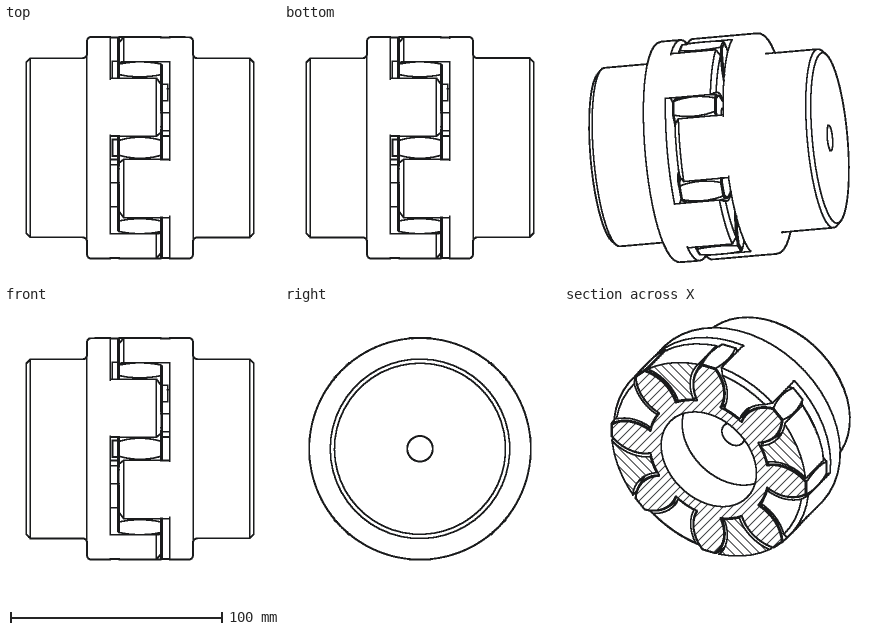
import cadquery as cq
import math


total_length = 107.7
outer_radius = 52.5
bore_radius = 6.0

hub_radius = 42.5
hub_chamfer = 2.0
flange_outer_face = 25.1
flange_inner_face = 14.0
flange_fillet = 2.0
shoulder_fillet = 2.0
hub_end = total_length / 2

claws_per_hub = 4
tooth_count = 2 * claws_per_hub
tooth_pitch = 360.0 / tooth_count
claw_pitch = 360.0 / claws_per_hub
claw_inner_radius = 32.4
claw_tip = 10.0
claw_bevel = 2.25
flank_radius = 20.0
flank_center_radial = 39.7
flank_center_side = 10.1

spider_width = 21.0
spider_half = spider_width / 2
tooth_face_height = outer_radius
spider_hole_radius = 25.5
spider_ring_radius = 32.0
tooth_clearance = 0.2
tooth_crown = 1.1
tooth_chamfer = 0.6
nub_radius = 4.0
nub_center_radius = 37.0
nub_height = 2.6


def x_cylinder(radius, start, length, center_y=0.0, center_z=0.0):
    """Cylinder along +X, centred at the given Y and Z."""
    return cq.Workplane("YZ", origin=(start, center_y, center_z)).circle(radius).extrude(length)


def turned(profile, angle=360.0):
    """Revolve an XY profile about the X axis."""
    return profile.close().revolve(angle, (0, 0, 0), (1, 0, 0))


def about_x(body, angle):
    """Rotate a body about the X axis."""
    return body.rotate((0, 0, 0), (1, 0, 0), angle)


def make_hub_body():
    """Turned hub on the -X side, with its flange, chamfer, fillets and bore."""
    arc_mid = math.sqrt(0.5)
    neck_x = -flange_outer_face - shoulder_fillet
    neck_r = hub_radius + shoulder_fillet
    rim_x = -flange_outer_face + flange_fillet
    rim_r = outer_radius - flange_fillet
    profile = (
        cq.Workplane("XY")
        .moveTo(-hub_end, bore_radius)
        .lineTo(-hub_end, hub_radius - hub_chamfer)
        .lineTo(-hub_end + hub_chamfer, hub_radius)
        .lineTo(neck_x, hub_radius)
        .threePointArc(
            (neck_x + shoulder_fillet * arc_mid, neck_r - shoulder_fillet * arc_mid),
            (-flange_outer_face, neck_r),
        )
        .lineTo(-flange_outer_face, rim_r)
        .threePointArc(
            (rim_x - flange_fillet * arc_mid, rim_r + flange_fillet * arc_mid),
            (rim_x, outer_radius),
        )
        .lineTo(-flange_inner_face, outer_radius)
        .lineTo(-flange_inner_face, bore_radius)
    )
    return turned(profile)


def make_claw():
    """One claw on the -X hub, reaching +X, between the teeth at 0 and one tooth pitch."""
    profile = (
        cq.Workplane("XY")
        .moveTo(-flange_inner_face, claw_inner_radius)
        .lineTo(-flange_inner_face, outer_radius)
        .lineTo(claw_tip - claw_bevel, outer_radius)
        .lineTo(claw_tip, outer_radius - claw_bevel)
        .lineTo(claw_tip, claw_inner_radius)
    )
    claw = turned(profile, tooth_pitch)
    length = flange_inner_face + claw_tip
    near_flank = x_cylinder(flank_radius, -flange_inner_face, length, flank_center_radial, -flank_center_side)
    far_flank = x_cylinder(flank_radius, -flange_inner_face, length, flank_center_radial, flank_center_side)
    return claw.cut(near_flank).cut(about_x(far_flank, tooth_pitch))


def make_hub():
    """-X hub: turned body joined with its ring of claws."""
    hub = about_x(make_hub_body(), tooth_pitch / 2)
    claw = make_claw()
    for i in range(claws_per_hub):
        hub = hub.union(about_x(claw, tooth_pitch + i * claw_pitch))
    return hub


def make_tooth():
    """Tooth at angle 0: two round flanks crowned along X, a flat outer face and chamfered ends."""
    middle_radius = flank_radius - tooth_clearance
    end_radius = middle_radius - tooth_crown
    crowned_disc = turned(
        cq.Workplane("XY")
        .moveTo(-spider_half, 0)
        .lineTo(-spider_half, end_radius - tooth_chamfer)
        .lineTo(-spider_half + tooth_chamfer, end_radius)
        .threePointArc((0, middle_radius), (spider_half - tooth_chamfer, end_radius))
        .lineTo(spider_half, end_radius - tooth_chamfer)
        .lineTo(spider_half, 0)
    )
    block = (
        cq.Workplane("XY")
        .box(spider_width, tooth_face_height, 2 * spider_ring_radius, centered=(True, False, True))
        .faces(">Y")
        .edges("|Z")
        .chamfer(tooth_chamfer)
    )
    upper_flank = crowned_disc.translate((0, flank_center_radial, -flank_center_side))
    lower_flank = crowned_disc.translate((0, flank_center_radial, flank_center_side))
    return block.intersect(upper_flank).intersect(lower_flank)


def make_spider():
    """Ring with barrel teeth; the nubs stand on alternate ends from tooth to tooth."""
    spider = x_cylinder(spider_ring_radius, -spider_half, spider_width)
    tooth = make_tooth()
    left_nub = x_cylinder(nub_radius, -spider_half - nub_height, nub_height, nub_center_radius)
    right_nub = x_cylinder(nub_radius, spider_half, nub_height, nub_center_radius)
    for i in range(tooth_count):
        nub = left_nub if i % 2 == 0 else right_nub
        spider = spider.union(about_x(tooth.union(nub), i * tooth_pitch))
    return spider.cut(x_cylinder(spider_hole_radius, -spider_half, spider_width))


left_hub = make_hub()
right_hub = about_x(make_hub().mirror("YZ"), tooth_pitch)
spider = make_spider()

result = cq.Compound.makeCompound([left_hub.val(), right_hub.val(), spider.val()])